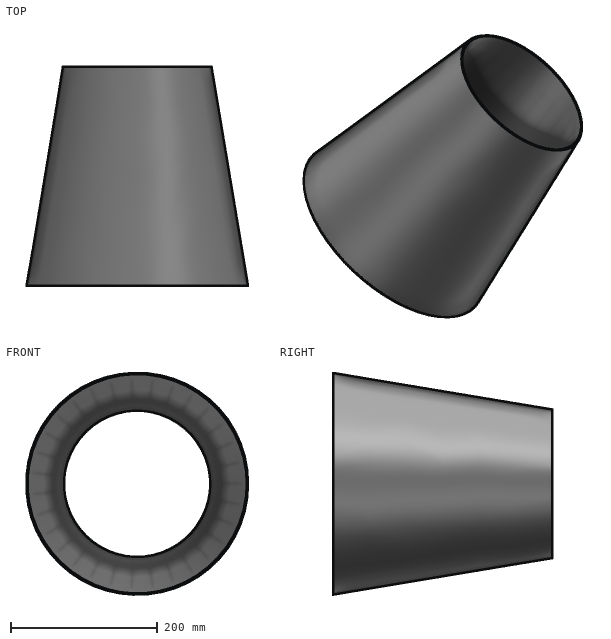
import cadquery as cq

wide_diameter = 304.0
narrow_diameter = 204.0
length = 300.0
wall = 2.0

wide_radius = wide_diameter / 2
narrow_radius = narrow_diameter / 2

wall_section = (
    cq.Workplane("XY")
    .moveTo(wide_radius - wall, 0)
    .lineTo(wide_radius, 0)
    .lineTo(narrow_radius, length)
    .lineTo(narrow_radius - wall, length)
    .close()
)

result = wall_section.revolve(360, (0, 0, 0), (0, 1, 0))